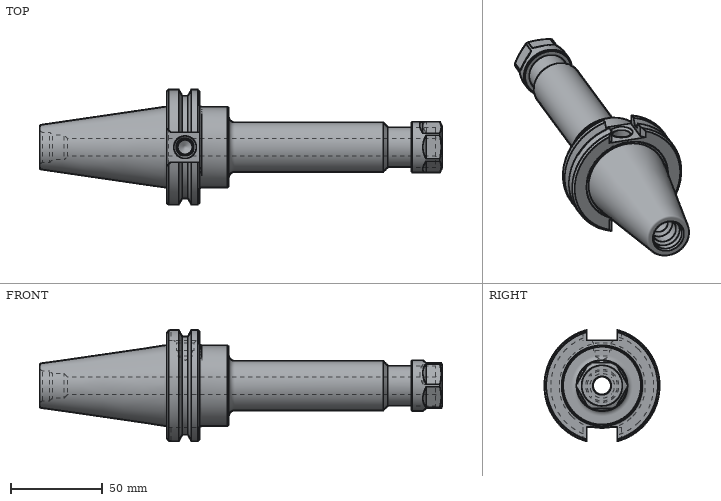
import cadquery as cq
import math


taper_length = 68.5
taper_rate = 7 / 24
gauge_radius = 22.18
nose_fillet = 1.0

flange_start = 69.5
flange_end = 87.5
flange_radius = 63.3 / 2
flange_chamfer = 1.0
groove_center = 79.7
groove_radius = 28.2
groove_floor_width = 3.0
groove_wall_angle = 30
undercut_radius = 23.6
undercut_depth = 0.9

slot_width = 16.5
slot_lead_in = 2.2
top_slot_floor = 25.0
bottom_slot_floor = 22.7

screw_mouth_radius = 6.2
screw_thread_radius = 4.9
screw_pilot_radius = 4.0
screw_thread_depth = 5.5
screw_pilot_depth = 8.5
drill_point_angle = 118

boss_radius = 22.18
boss_end = 103.7
boss_chamfer = 0.9
boss_root_fillet = 1.0
shank_radius = 13.7
shank_root_fillet = 3.0
shank_end = 188.2
neck_radius = 11.0

mouth_radius = 9.0
mouth_depth = 1.3
thread_radius = 8.27
bore_step_radius = 6.73
bore_radius = 4.9
thread_depth = 5.3
step_depth = 13.2

total_length = 220.7
nut_start = 203.7
nut_radius = 14.01
nut_back_chamfer = 0.7
nut_front_chamfer = 1.3
nut_front_chamfer_angle = 25
nut_front_wall = 4.0
nut_opening_radius = 5.0
hex_across_flats = 25.0
hex_start = 211.8
hex_runout_angle = 40
hex_sides = 6
long_flat_side = 5
long_flat_start = 210.0


def revolve_about_x(points):
    """Solid of revolution about X from a closed outline of (x, radius) points."""
    return cq.Workplane("XY").polyline(points).close().revolve(360, (0, 0, 0), (1, 0, 0))


def make_blank():
    """Turned outside of the holder: taper, flange, boss, shank and neck."""
    nose_radius = gauge_radius - taper_length * taper_rate / 2
    arc_mid = 1 - math.sqrt(0.5)
    shank_root_radius = shank_radius + shank_root_fillet
    neck_start = shank_end + shank_radius - neck_radius
    neck_end = total_length - nut_front_wall
    outline = (
        cq.Workplane("XY")
        .moveTo(0, 0)
        .lineTo(0, nose_radius)
        .lineTo(taper_length, gauge_radius)
        .lineTo(flange_start + undercut_depth, gauge_radius)
        .lineTo(flange_start + undercut_depth, undercut_radius)
        .lineTo(flange_start, undercut_radius)
        .lineTo(flange_start, flange_radius - flange_chamfer)
        .lineTo(flange_start + flange_chamfer, flange_radius)
        .lineTo(flange_end - flange_chamfer, flange_radius)
        .lineTo(flange_end, flange_radius - flange_chamfer)
        .lineTo(flange_end, boss_radius + boss_root_fillet)
        .threePointArc(
            (flange_end + boss_root_fillet * arc_mid, boss_radius + boss_root_fillet * arc_mid),
            (flange_end + boss_root_fillet, boss_radius),
        )
        .lineTo(boss_end - boss_chamfer, boss_radius)
        .lineTo(boss_end, boss_radius - boss_chamfer)
        .lineTo(boss_end, shank_root_radius)
        .threePointArc(
            (boss_end + shank_root_fillet * arc_mid, shank_radius + shank_root_fillet * arc_mid),
            (boss_end + shank_root_fillet, shank_radius),
        )
        .lineTo(shank_end, shank_radius)
        .lineTo(neck_start, neck_radius)
        .lineTo(neck_end, neck_radius)
        .lineTo(neck_end, 0)
        .close()
    )
    blank = outline.revolve(360, (0, 0, 0), (1, 0, 0))
    return blank.faces("<X").edges().fillet(nose_fillet)


def make_gripper_groove():
    """V groove with a flat floor around the flange."""
    floor_half = groove_floor_width / 2
    depth = flange_radius - groove_radius
    top_half = floor_half + depth * math.tan(math.radians(groove_wall_angle))
    return revolve_about_x([
        (groove_center - floor_half, groove_radius),
        (groove_center - top_half, flange_radius),
        (groove_center + top_half, flange_radius),
        (groove_center + floor_half, groove_radius),
    ])


def make_slot(floor, side):
    """Drive slot through the flange, widened at its taper end; side is +1 for top, -1 for bottom."""
    half = slot_width / 2
    wide_half = half + slot_lead_in
    return (
        cq.Workplane("XY", origin=(0, 0, side * floor))
        .polyline([
            (flange_start, -wide_half),
            (flange_start + slot_lead_in, -half),
            (flange_end, -half),
            (flange_end, half),
            (flange_start + slot_lead_in, half),
            (flange_start, wide_half),
        ])
        .close()
        .extrude(side * (flange_radius - floor))
    )


def make_screw_hole():
    """Countersunk, stepped blind hole with a drill point, going down from the top slot floor."""
    point_length = screw_pilot_radius / math.tan(math.radians(drill_point_angle / 2))
    countersink = screw_mouth_radius - screw_thread_radius
    outline = [
        (0, 0),
        (screw_mouth_radius, 0),
        (screw_thread_radius, -countersink),
        (screw_thread_radius, -screw_thread_depth),
        (screw_pilot_radius, -screw_thread_depth),
        (screw_pilot_radius, -screw_pilot_depth),
        (0, -screw_pilot_depth - point_length),
    ]
    return (
        cq.Workplane("XZ", origin=(groove_center, 0, top_slot_floor))
        .polyline(outline)
        .close()
        .revolve(360, (0, 0, 0), (0, 1, 0))
    )


def make_axial_bore():
    """Through bore that opens in two cones and a countersink at the taper's small end."""
    step_start = thread_depth + thread_radius - bore_step_radius
    bore_start = step_depth + bore_step_radius - bore_radius
    return revolve_about_x([
        (0, 0),
        (0, mouth_radius),
        (mouth_depth, thread_radius),
        (thread_depth, thread_radius),
        (step_start, bore_step_radius),
        (step_depth, bore_step_radius),
        (bore_start, bore_radius),
        (total_length, bore_radius),
        (total_length, 0),
    ])


def make_holder():
    return (
        make_blank()
        .cut(make_gripper_groove())
        .cut(make_slot(top_slot_floor, 1))
        .cut(make_slot(bottom_slot_floor, -1))
        .cut(make_screw_hole())
        .cut(make_axial_bore())
    )


def make_hex_flat_cutter(angle, flat_start):
    """Removes one wrench flat, with a sloped run-out at its back; angle 0 is the +Z flat."""
    flat_height = hex_across_flats / 2
    cut_height = nut_radius - flat_height
    runout = cut_height / math.tan(math.radians(hex_runout_angle))
    return (
        cq.Workplane("XZ")
        .polyline([
            (flat_start, flat_height),
            (flat_start - runout, nut_radius),
            (total_length, nut_radius),
            (total_length, flat_height),
        ])
        .close()
        .extrude(nut_radius, both=True)
        .rotate((0, 0, 0), (1, 0, 0), angle)
    )


def make_nut():
    """Hexagon clamping nut that houses the end of the neck."""
    front_chamfer_drop = nut_front_chamfer / math.tan(math.radians(nut_front_chamfer_angle))
    nut = revolve_about_x([
        (nut_start, neck_radius),
        (nut_start, nut_radius - nut_back_chamfer),
        (nut_start + nut_back_chamfer, nut_radius),
        (total_length - nut_front_chamfer, nut_radius),
        (total_length, nut_radius - front_chamfer_drop),
        (total_length, nut_opening_radius),
        (total_length - nut_front_wall, nut_opening_radius),
        (total_length - nut_front_wall, neck_radius),
    ])
    for side in range(hex_sides):
        flat_start = long_flat_start if side == long_flat_side else hex_start
        nut = nut.cut(make_hex_flat_cutter(side * 360 / hex_sides, flat_start))
    return nut


holder = make_holder()
nut = make_nut()
result = cq.Compound.makeCompound([holder.solids().val(), nut.solids().val()])